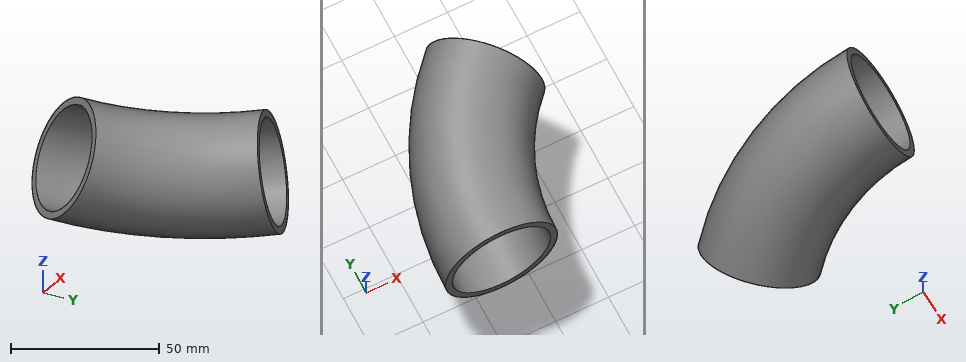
import cadquery as cq
import math

overall_length = 80.75
outer_diameter = 42.4
wall_thickness = 2.6
bend_angle = 45.0

outer_radius = outer_diameter / 2
inner_radius = outer_radius - wall_thickness

bend_radius = overall_length / math.sin(math.radians(bend_angle)) - outer_radius


def bent_tube():
    """Sweep the ring-shaped pipe section about a vertical axis on the +X side, bending +Y toward +X."""
    section = cq.Workplane("XZ").circle(outer_radius).circle(inner_radius)
    axis_start = (bend_radius, 0)
    axis_end = (bend_radius, -1)
    return section.revolve(bend_angle, axis_start, axis_end)


result = bent_tube()